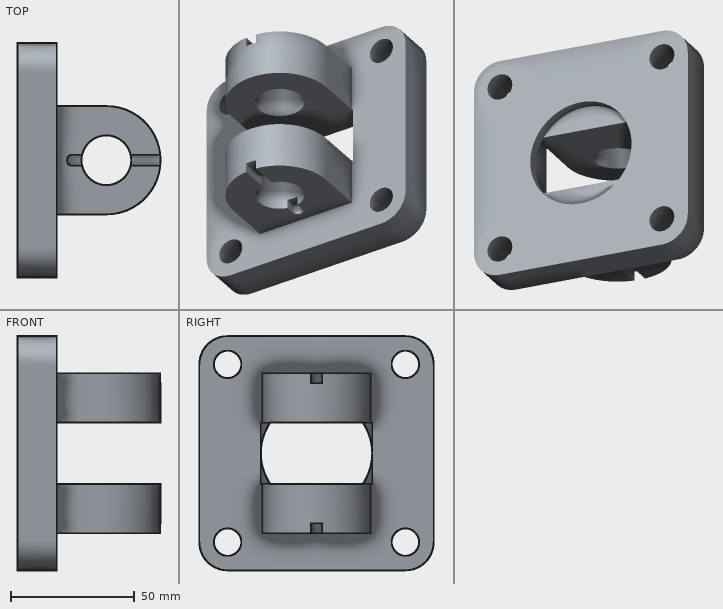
import cadquery as cq

plate_size = 95.0
plate_thickness = 16.0
bolt_offset = 36.0
bolt_diameter = 11.0
corner_radius = plate_size / 2 - bolt_offset

recess_diameter = 45.0
recess_depth = 5.0
slot_width = recess_diameter

overall_length = 58.0
lug_width = 44.0
lug_radius = lug_width / 2
lug_thickness = 20.0
lug_gap = 24.8
bore_diameter = 20.0
bore_x = overall_length - lug_radius

groove_width = 4.7
groove_depth = 4.0
groove_reach = 16.0


def make_plate():
    plate = (
        cq.Workplane("YZ")
        .rect(plate_size, plate_size)
        .extrude(plate_thickness)
        .edges("|X")
        .fillet(corner_radius)
    )
    bolt_holes = (
        cq.Workplane("YZ")
        .rect(2 * bolt_offset, 2 * bolt_offset, forConstruction=True)
        .vertices()
        .circle(bolt_diameter / 2)
        .extrude(plate_thickness)
    )
    recess = cq.Workplane("YZ").circle(recess_diameter / 2).extrude(recess_depth)
    slot = (
        cq.Workplane("YZ", origin=(recess_depth, 0, 0))
        .rect(slot_width, lug_gap)
        .extrude(plate_thickness - recess_depth)
    )
    return plate.cut(bolt_holes).cut(recess).cut(slot)


def make_groove(bottom_z):
    end_radius = groove_width / 2
    end_x = bore_x - groove_reach
    return (
        cq.Workplane("XY", origin=(0, 0, bottom_z))
        .moveTo(overall_length, -end_radius)
        .lineTo(end_x + end_radius, -end_radius)
        .threePointArc((end_x, 0), (end_x + end_radius, end_radius))
        .lineTo(overall_length, end_radius)
        .close()
        .extrude(groove_depth)
    )


def make_upper_lug():
    bottom_z = lug_gap / 2
    lug = (
        cq.Workplane("XY", origin=(0, 0, bottom_z))
        .moveTo(plate_thickness, -lug_radius)
        .lineTo(bore_x, -lug_radius)
        .threePointArc((overall_length, 0), (bore_x, lug_radius))
        .lineTo(plate_thickness, lug_radius)
        .close()
        .extrude(lug_thickness)
    )
    bore = (
        cq.Workplane("XY", origin=(bore_x, 0, bottom_z))
        .circle(bore_diameter / 2)
        .extrude(lug_thickness)
    )
    groove = make_groove(bottom_z + lug_thickness - groove_depth)
    return lug.cut(bore).cut(groove)


upper_lug = make_upper_lug()
lower_lug = upper_lug.mirror("XY")
result = make_plate().union(upper_lug).union(lower_lug)